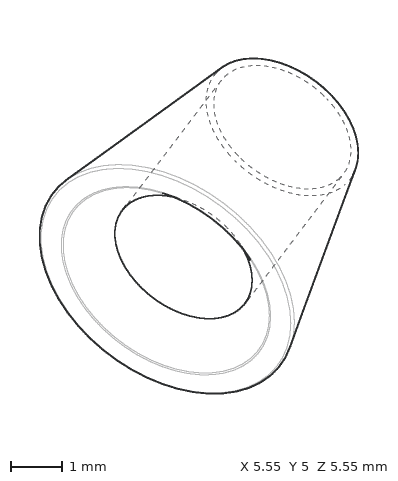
import cadquery as cq
import math

length = 5.0
outer_radius = 2.775
narrow_radius = 1.665
bore_radius = 1.5
mouth_radius = 2.265
edge_round = 0.05

mouth_depth = mouth_radius - bore_radius

taper_angle = math.atan((outer_radius - narrow_radius) / length)
rim_setback = edge_round * math.tan(math.pi / 4 + taper_angle / 2)
wide_radius = outer_radius - edge_round + rim_setback

half_section = [
    (mouth_radius, 0),
    (wide_radius, 0),
    (narrow_radius, length),
    (bore_radius, length),
    (bore_radius, mouth_depth),
]

sleeve = (
    cq.Workplane("XY")
    .polyline(half_section)
    .close()
    .revolve(360, (0, 0, 0), (0, 1, 0))
)

result = sleeve.faces("<Y").edges().fillet(edge_round)